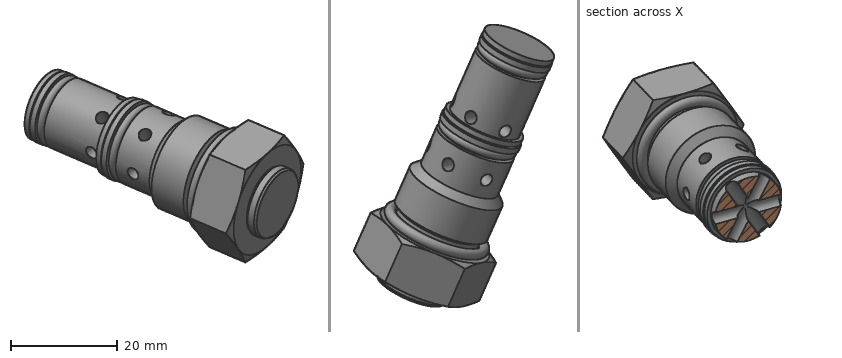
import cadquery as cq
import math

OVERALL_LENGTH = 53.1

NOSE_DIA = 14.25
COLLAR_DIA = 15.8
BARREL_DIA = 19.05
NECK_DIA = 16.85
COLLAR_START = 17.0
CONE_START = 29.2
CONE_LENGTH = (BARREL_DIA - COLLAR_DIA) / 2
BARREL_END = 38.1
NECK_START = 38.8

HEX_FLATS = 22.25
HEX_START = 41.3
HEX_END = 50.75
HEX_FRONT_CHAMFER = 0.7
HEX_BACK_CHAMFER = 0.6

NOSE_GROOVE_DIA = 11.75
COLLAR_GROOVE_DIA = 13.3
FLANGE_WIDTH = 1.05
GROOVE_WIDTH = 3.45
NOSE_GROOVE_START = FLANGE_WIDTH
COLLAR_GROOVE_START = COLLAR_START + FLANGE_WIDTH
BACKUP_GAP = 0.25
BACKUP_WIDTH = 1.15
NOSE_BACKUP_DIA = 14.45
COLLAR_BACKUP_DIA = 16.2
SEAL_SECTION = 1.75

HEAD_SEAL_SECTION = 2.05
HEAD_SEAL_DIA = 21.3

PORT_DIA = 2.5
PORT_COUNT = 6
NOSE_PORT_X = 15.35
COLLAR_PORT_X = 25.45

PLUG_DIA = 14.25
PLUG_CHAMFER_DEPTH = 0.25
PLUG_FRONT_CHAMFER = 0.4
PLUG_BACK_CHAMFER = 0.5


def revolve_profile(points):
    """Revolve (x, radius) points about the X axis."""
    return cq.Workplane("XY").polyline(points).close().revolve(360, (0, 0, 0), (1, 0, 0))


def ring(start, width, outer_dia, inner_dia):
    return (
        cq.Workplane("YZ", origin=(start, 0, 0))
        .circle(outer_dia / 2)
        .circle(inner_dia / 2)
        .extrude(width)
    )


def make_barrel():
    nose = NOSE_DIA / 2
    collar = COLLAR_DIA / 2
    barrel = BARREL_DIA / 2
    neck = NECK_DIA / 2
    return revolve_profile([
        (0, 0),
        (0, nose),
        (COLLAR_START, nose),
        (COLLAR_START, collar),
        (CONE_START, collar),
        (CONE_START + CONE_LENGTH, barrel),
        (BARREL_END, barrel),
        (NECK_START, neck),
        (HEX_START, neck),
        (HEX_START, 0),
    ])


def make_hex_head():
    """Hexagon with flats facing +Z and -Z, its corners turned down to cones at both ends."""
    flat_radius = HEX_FLATS / 2
    corner_radius = flat_radius / math.cos(math.pi / 6)
    hexagon = (
        cq.Workplane("YZ", origin=(HEX_START, 0, 0))
        .polygon(6, 2 * corner_radius)
        .extrude(HEX_END - HEX_START)
    )
    turned_envelope = revolve_profile([
        (HEX_START, 0),
        (HEX_START, flat_radius),
        (HEX_START + HEX_FRONT_CHAMFER, corner_radius),
        (HEX_END - HEX_BACK_CHAMFER, corner_radius),
        (HEX_END, flat_radius),
        (HEX_END, 0),
    ])
    return hexagon.intersect(turned_envelope)


def make_port_row(x):
    """Cross drillings through the axis; each drilling opens two opposite ports."""
    drilling = cq.Workplane("XZ", origin=(x, 0, 0)).circle(PORT_DIA / 2).extrude(BARREL_DIA, both=True)
    drillings = drilling
    for i in range(1, PORT_COUNT // 2):
        turned = drilling.rotate((0, 0, 0), (1, 0, 0), i * 360 / PORT_COUNT)
        drillings = drillings.union(turned)
    return drillings


def make_housing():
    housing = make_barrel().union(make_hex_head())
    housing = housing.cut(ring(NOSE_GROOVE_START, GROOVE_WIDTH, BARREL_DIA, NOSE_GROOVE_DIA))
    housing = housing.cut(ring(COLLAR_GROOVE_START, GROOVE_WIDTH, BARREL_DIA, COLLAR_GROOVE_DIA))
    for x in (NOSE_PORT_X, COLLAR_PORT_X):
        housing = housing.cut(make_port_row(x))
    return housing


def make_backup_ring(groove_start, outer_dia, groove_dia):
    return ring(groove_start + BACKUP_GAP, BACKUP_WIDTH, outer_dia, groove_dia)


def make_o_ring(start, section, outer_dia):
    center_x = start + section / 2
    center_radius = (outer_dia - section) / 2
    return (
        cq.Workplane("XY", origin=(center_x, center_radius, 0))
        .circle(section / 2)
        .revolve(360, (0, -center_radius, 0), (1, -center_radius, 0))
    )


def make_groove_seal(groove_start, outer_dia, groove_dia):
    """O-ring lying against its backup ring, flattened on the inside by the groove floor."""
    seal_start = groove_start + BACKUP_GAP + BACKUP_WIDTH
    groove_floor = cq.Workplane("YZ", origin=(seal_start, 0, 0)).circle(groove_dia / 2).extrude(SEAL_SECTION)
    return make_o_ring(seal_start, SEAL_SECTION, outer_dia).cut(groove_floor)


def make_head_seal():
    return make_o_ring(HEX_START - HEAD_SEAL_SECTION, HEAD_SEAL_SECTION, HEAD_SEAL_DIA)


def make_end_plug():
    """Disc against the back of the hexagon, chamfered at both ends."""
    radius = PLUG_DIA / 2
    end_radius = radius - PLUG_CHAMFER_DEPTH
    return revolve_profile([
        (HEX_END, 0),
        (HEX_END, end_radius),
        (HEX_END + PLUG_FRONT_CHAMFER, radius),
        (OVERALL_LENGTH - PLUG_BACK_CHAMFER, radius),
        (OVERALL_LENGTH, end_radius),
        (OVERALL_LENGTH, 0),
    ])


housing = make_housing()
head_seal = make_head_seal()
end_plug = make_end_plug()

SEAL_GROOVES = [
    (NOSE_GROOVE_START, NOSE_GROOVE_DIA, NOSE_BACKUP_DIA, NOSE_DIA),
    (COLLAR_GROOVE_START, COLLAR_GROOVE_DIA, COLLAR_BACKUP_DIA, COLLAR_DIA),
]
backup_rings = []
groove_seals = []
for groove_start, groove_dia, backup_dia, seal_dia in SEAL_GROOVES:
    backup_rings.append(make_backup_ring(groove_start, backup_dia, groove_dia).val())
    groove_seals.append(make_groove_seal(groove_start, seal_dia, groove_dia).val())

result = cq.Compound.makeCompound([
    housing.val(),
    *backup_rings,
    *groove_seals,
    head_seal.val(),
    end_plug.val(),
])